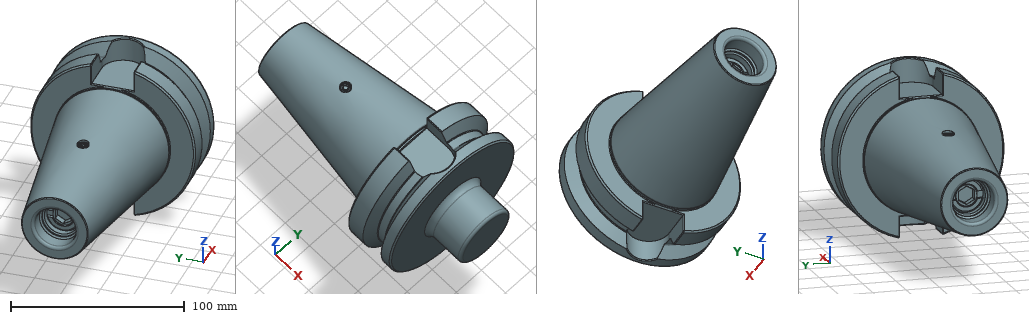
import cadquery as cq
import math

match_tolerance = 0.02

overall_length = 166.8

taper_length = 101.9
taper_large_radius = 35.0
taper_slope = 7 / 48
taper_small_radius = taper_large_radius - taper_length * taper_slope
taper_end_chamfer = 0.5

land_length = 0.5
neck_drop_run = 0.5
neck_radius = 34.7
neck_fillet = 0.5
land_end = taper_length + land_length

flange_start = 104.6
flange_end = 139.8
flange_radius = 50.0
flange_edge_chamfer = 1.0
groove_radius = 42.4
groove_floor_start = 121.6
groove_floor_end = 127.8
groove_side_angle = 60.0
groove_corner_fillet = 0.7
groove_overcut = 1.7

nose_radius = 20.0
nose_flare_run = 4.8
nose_flare_radius = 5.8
nose_end_fillet = 2.0

slot_width = 25.7
slot_floor_height = 35.4
slot_end = 136.3
slot_edge_chamfer = 0.58

pilot_radius = 12.5
pilot_mouth_fillet = 1.8
pilot_depth = 9.7
step_radius = 11.3
step_start = 10.5
step_end = 11.5
bore_radius = 10.3
bore_start = 12.2

ring_face_depth = 15.0
ring_length = 10.0
ring_edge_chamfer = 1.0
ring_inner_radius = 6.3
ring_inner_chamfer = 0.5
ring_slot_width = 4.5
ring_slot_depth = 2.0
bore_depth = ring_face_depth + ring_length
plug_face_depth = ring_face_depth + ring_inner_chamfer
plug_hex_flats = 9.5
plug_hex_depth = 4.2
plug_hex_turn = 30.0

screw_place = 51.4
screw_radius = 3.0
screw_length = 6.7
screw_recess = 0.8
screw_edge_chamfer = 0.8
screw_mouth_radius = 3.5
screw_hex_flats = 2.7
screw_hex_depth = 0.8
screw_rim_height = taper_small_radius + screw_place * taper_slope
screw_top = screw_rim_height - screw_recess


def cylinder_x(start, end, radius):
    """Solid cylinder along +X."""
    return cq.Workplane("YZ", origin=(start, 0, 0)).circle(radius).extrude(end - start)


def turn(outline):
    """Turn a closed half outline, drawn in XZ, about the X axis."""
    return outline.close().revolve(360, (0, 0, 0), (1, 0, 0))


def ring_edges(body, place, radius):
    """Circular edges about X with the given place along X and radius."""

    def matches(edge):
        at_place = abs(edge.Center().x - place) < match_tolerance
        return at_place and abs(edge.radius() - radius) < match_tolerance

    return body.edges("%CIRCLE").filter(matches)


def hex_socket(plane, origin, flats, depth):
    """Hexagonal prism that cuts a socket; flats is the width across flats."""
    corner_diameter = flats / math.cos(math.pi / 6)
    return cq.Workplane(plane, origin=origin).polygon(6, corner_diameter).extrude(depth)


def make_turned_body():
    """Outside of the holder, without the V-groove."""
    flare_rise = nose_flare_radius - math.sqrt(nose_flare_radius**2 - nose_flare_run**2)
    body = turn(
        cq.Workplane("XZ")
        .lineTo(0, taper_small_radius)
        .lineTo(taper_length, taper_large_radius)
        .lineTo(land_end, taper_large_radius)
        .lineTo(land_end + neck_drop_run, neck_radius)
        .lineTo(flange_start, neck_radius)
        .lineTo(flange_start, flange_radius)
        .lineTo(flange_end, flange_radius)
        .lineTo(flange_end, nose_radius + flare_rise)
        .radiusArc((flange_end + nose_flare_run, nose_radius), -nose_flare_radius)
        .lineTo(overall_length, nose_radius)
        .lineTo(overall_length, 0)
    )
    body = ring_edges(body, 0, taper_small_radius).chamfer(taper_end_chamfer)
    body = ring_edges(body, flange_start, neck_radius).fillet(neck_fillet)
    body = ring_edges(body, flange_start, flange_radius).chamfer(flange_edge_chamfer)
    body = ring_edges(body, flange_end, flange_radius).chamfer(flange_edge_chamfer)
    return ring_edges(body, overall_length, nose_radius).fillet(nose_end_fillet)


def make_groove():
    """V-groove cutter: a ring with rounded inner corners."""
    cutter_radius = flange_radius + groove_overcut
    side_run = (cutter_radius - groove_radius) / math.tan(math.radians(groove_side_angle))
    cutter = turn(
        cq.Workplane("XZ")
        .moveTo(groove_floor_start, groove_radius)
        .lineTo(groove_floor_end, groove_radius)
        .lineTo(groove_floor_end + side_run, cutter_radius)
        .lineTo(groove_floor_start - side_run, cutter_radius)
    )
    for corner in (groove_floor_start, groove_floor_end):
        cutter = ring_edges(cutter, corner, groove_radius).fillet(groove_corner_fillet)
    return cutter


def make_drive_slot(side):
    """Round-ended slot cutter, open to the front; side is 1 for +Z and -1 for -Z."""
    straight_end = slot_end - slot_width / 2
    plan = (
        cq.Workplane("XY", origin=(0, 0, side * slot_floor_height))
        .moveTo(land_end, -slot_width / 2)
        .lineTo(straight_end, -slot_width / 2)
        .threePointArc((slot_end, 0), (straight_end, slot_width / 2))
        .lineTo(land_end, slot_width / 2)
        .close()
    )
    return plan.extrude(side * flange_radius)


def chamfer_drive_slot(body, side):
    """Break the edges where a slot meets the flange's front face and outside."""

    def on_slot_rim(edge):
        middle = edge.positionAt(0.5)
        in_plan = abs(middle.y) < slot_width / 2 + match_tolerance and middle.x < slot_end + match_tolerance
        above_floor = side * middle.z > slot_floor_height - match_tolerance
        on_front = middle.x < flange_start + flange_edge_chamfer
        on_outside = math.hypot(middle.y, middle.z) > flange_radius - match_tolerance
        return in_plan and above_floor and (on_front or on_outside)

    return body.edges().filter(on_slot_rim).chamfer(slot_edge_chamfer)


def make_bore():
    """Pilot with a rounded mouth, a coned step, and the smaller bore that holds the ring."""
    return turn(
        cq.Workplane("XZ")
        .lineTo(0, pilot_radius + pilot_mouth_fillet)
        .radiusArc((pilot_mouth_fillet, pilot_radius), -pilot_mouth_fillet)
        .lineTo(pilot_depth, pilot_radius)
        .lineTo(step_start, step_radius)
        .lineTo(step_end, step_radius)
        .lineTo(bore_start, bore_radius)
        .lineTo(bore_depth, bore_radius)
        .lineTo(bore_depth, 0)
    )


def make_screw_hole():
    """Blind hole for the set screw, wider above the screw."""
    bottom = screw_top - screw_length
    hole = cq.Workplane("XY", origin=(screw_place, 0, bottom)).circle(screw_radius).extrude(screw_length)
    mouth = cq.Workplane("XY", origin=(screw_place, 0, screw_top))
    mouth = mouth.circle(screw_mouth_radius).extrude(2 * screw_recess)
    return hole.union(mouth)


def make_holder():
    body = make_turned_body()
    for side in (1, -1):
        body = body.cut(make_drive_slot(side))
        body = chamfer_drive_slot(body, side)
    return body.cut(make_groove()).cut(make_bore()).cut(make_screw_hole())


def make_ring():
    """Ring with a driver slot across its face."""
    ring = cylinder_x(ring_face_depth, bore_depth, bore_radius)
    ring = ring.cut(cylinder_x(ring_face_depth, bore_depth, ring_inner_radius))
    ring = ring_edges(ring, ring_face_depth, bore_radius).chamfer(ring_edge_chamfer)
    ring = ring_edges(ring, ring_face_depth, ring_inner_radius).chamfer(ring_inner_chamfer)
    slot = cq.Workplane("XY", origin=(ring_face_depth, 0, 0))
    return ring.cut(slot.box(2 * ring_slot_depth, 2 * bore_radius, ring_slot_width))


def make_plug():
    """Plug with a hexagonal socket, filling the hole of the ring."""
    plug = cylinder_x(plug_face_depth, bore_depth, ring_inner_radius)
    socket = hex_socket("YZ", (plug_face_depth, 0, 0), plug_hex_flats, plug_hex_depth)
    return plug.cut(socket.rotate((0, 0, 0), (1, 0, 0), plug_hex_turn))


def make_set_screw():
    """Headless screw with a chamfered top and a hexagonal socket."""
    screw = cq.Workplane("XY", origin=(screw_place, 0, screw_top - screw_length))
    screw = screw.circle(screw_radius).extrude(screw_length)
    screw = screw.faces(">Z").chamfer(screw_edge_chamfer)
    return screw.cut(hex_socket("XY", (screw_place, 0, screw_top), screw_hex_flats, -screw_hex_depth))


holder = make_holder()
ring = make_ring()
plug = make_plug()
set_screw = make_set_screw()

result = cq.Compound.makeCompound([holder.val(), ring.val(), plug.val(), set_screw.val()])